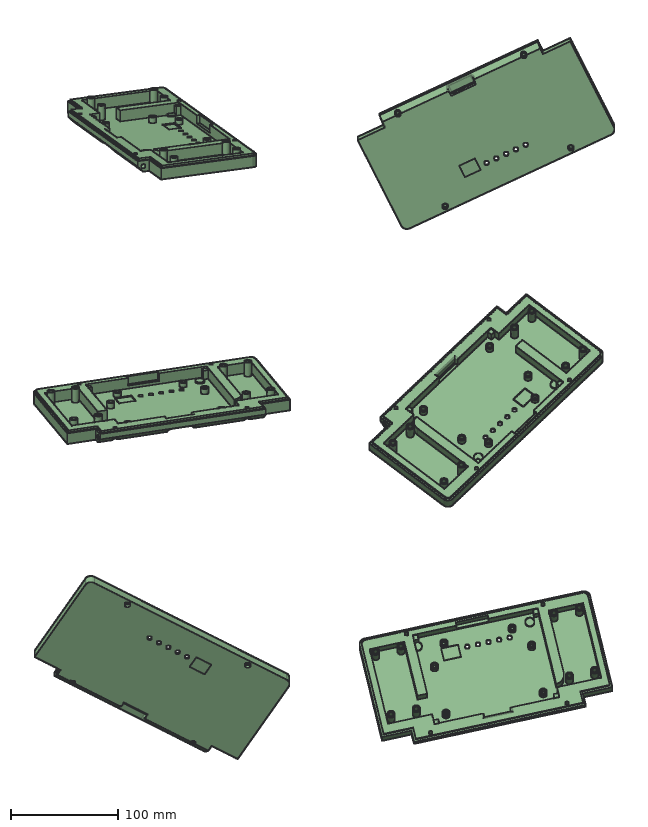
import cadquery as cq

length = 220.0
width = 110.0
body_height = 11.0
lip_height = 2.0
lip_inset = 2.0
top_z = body_height + lip_height
corner_radius = 6.0
front_tongue_half_width = 81.8
wing_setback = 11.5
front_chamfer_size = 5.5

half_length = length / 2
half_width = width / 2

floor_z = 2.0
bay_half_width = 59.6
bay_back_y = 47.5
bay_front_y = -42.7
wing_outer_x = 101.9
wing_inner_x = 68.9
wing_back_y = 43.0
wing_front_y = -32.8
left_divider_end_y = -11.9
right_divider_end_y = -29.5

post_size = 4.6
post_top_z = body_height
disc_diameter = 8.5
disc_height = 1.5
disc_y = 39.2
left_disc_x = -57.2
right_disc_x = 50.2
back_notch_left_x = -17.8
back_notch_right_x = 12.8
back_notch_depth = 3.3
back_notch_z = 5.0
label_recess_x = -28.0
label_recess_y = 26.6
label_recess_length = 16.3
label_recess_width = 12.3
label_recess_depth = 1.0

boss_bore = 4.2
boss_diameter = 7.0
wing_boss_top_z = 16.0
board_boss_top_z = 7.5
upper_boss_top_z = 6.4
wing_boss_x = (73.0, 97.2)
wing_boss_y = (-25.3, 38.3)
board_boss_x = 46.5
board_boss_y = (-32.5, 15.2)
upper_boss_x = 32.5
upper_boss_y = 36.0

screw_x = 65.1
screw_y = 50.2
screw_diameter = 3.3
screw_head_diameter = 5.5
screw_head_depth = 4.5
led_count = 5
led_pitch = 10.1
led_centre_x = 8.4
led_y = 29.0
led_diameter = 4.2
pivot_diameter = 4.2
pivot_y = -49.5
pivot_z = body_height / 2
pivot_depth = 11.0

slot_half_width = 12.8
slot_rounding = 1.5
slot_front_y = -46.0
slot_ceiling_z = 4.5
rim_search_margin = 0.5
bar_radius = 1.5
bar_y = bay_front_y - bar_radius


def box(x0, x1, y0, y1, z0, z1):
    """Axis-aligned block between opposite corners."""
    return cq.Workplane("XY").box(x1 - x0, y1 - y0, z1 - z0, centered=False).translate((x0, y0, z0))


def stepped_slab(inset, height):
    """Case outline shrunk by inset, with both back corners rounded."""
    side = half_length - inset
    back = half_width - inset
    step_y = -half_width + wing_setback + inset
    tongue = front_tongue_half_width - inset
    outline = [
        (-side, back), (side, back), (side, step_y), (tongue, step_y),
        (tongue, -back), (-tongue, -back), (-tongue, step_y), (-side, step_y),
    ]
    slab = cq.Workplane("XY").polyline(outline).close().extrude(height)
    return slab.edges("|Z and >Y").fillet(corner_radius - inset)


def chamfered_case():
    """Body and lip, with the lower front edge of the tongue cut away."""
    wedge = (
        cq.Workplane("YZ", origin=(-half_length, 0, 0))
        .polyline([
            (-half_width, 0),
            (-half_width + front_chamfer_size, 0),
            (-half_width, front_chamfer_size),
        ])
        .close()
        .extrude(length)
    )
    return stepped_slab(0, body_height).union(stepped_slab(lip_inset, top_z)).cut(wedge)


def pocket():
    """Central bay and wing bays joined in front of the dividers; the right divider ends in a quarter round."""
    bay = box(-bay_half_width, bay_half_width, bay_front_y, bay_back_y, floor_z, top_z)
    wings = box(-wing_outer_x, wing_outer_x, wing_front_y, wing_back_y, floor_z, top_z)
    left_divider = box(-wing_inner_x, -bay_half_width, left_divider_end_y, half_width, floor_z, top_z)
    divider_thickness = wing_inner_x - bay_half_width
    right_divider = (
        cq.Workplane("XY", origin=(0, 0, floor_z))
        .moveTo(bay_half_width, half_width)
        .lineTo(bay_half_width, right_divider_end_y)
        .radiusArc((wing_inner_x, right_divider_end_y + divider_thickness), -divider_thickness)
        .lineTo(wing_inner_x, half_width)
        .close()
        .extrude(top_z - floor_z)
    )
    return bay.union(wings.cut(left_divider).cut(right_divider))


def corner_posts():
    """Square post in each corner of the central bay."""
    posts = cq.Workplane("XY")
    offset = post_size / 2
    for x in (-bay_half_width + offset, bay_half_width - offset):
        for y in (bay_front_y + offset, bay_back_y - offset):
            posts = posts.union(
                box(x - offset, x + offset, y - offset, y + offset, 0, post_top_z)
            )
    return posts


def cylinders(points, diameter, z0, z1):
    """Upright cylinders at the given points."""
    return cq.Workplane("XY").workplane(offset=z0).pushPoints(points).circle(diameter / 2).extrude(z1 - z0)


def strap_slot():
    """Opening from the lip down through the chamfer, square-edged."""
    shaft = box(-slot_half_width, slot_half_width, slot_front_y, bay_front_y, 0, top_z)
    outlet = box(-slot_half_width, slot_half_width, -half_width, slot_front_y, 0, slot_ceiling_z)
    return shaft.union(outlet)


def round_slot_rims(body):
    """Round the slot's mouth at the lip and its outlet on the chamfer."""
    reach = slot_half_width + rim_search_margin
    chamfer_back_y = -half_width + front_chamfer_size
    top_rim = cq.selectors.BoxSelector(
        (-reach, slot_front_y - rim_search_margin, top_z - rim_search_margin),
        (reach, bay_front_y, top_z + rim_search_margin),
    )
    outlet_rim = cq.selectors.BoxSelector(
        (-reach, -half_width, rim_search_margin),
        (reach, chamfer_back_y, slot_ceiling_z + rim_search_margin),
    )
    return body.edges(top_rim).fillet(slot_rounding).edges(outlet_rim).fillet(slot_rounding)


def slot_bar():
    """Round bar on the front edge of the floor, spanning the slot."""
    rod = (
        cq.Workplane("YZ", origin=(-slot_half_width, bar_y, floor_z))
        .circle(bar_radius)
        .extrude(2 * slot_half_width)
    )
    return rod.union(box(-slot_half_width, slot_half_width, bar_y, bay_front_y, 0, floor_z))


def back_notch():
    """Notch in the back wall of the central bay."""
    return box(
        back_notch_left_x, back_notch_right_x,
        bay_back_y, bay_back_y + back_notch_depth,
        back_notch_z, top_z,
    )


def label_recess():
    """Shallow rectangular recess in the floor."""
    return (
        cq.Workplane("XY", origin=(label_recess_x, label_recess_y, floor_z))
        .rect(label_recess_length, label_recess_width)
        .extrude(-label_recess_depth)
    )


def add_bosses(body, points, boss_top_z):
    """Screw bosses standing on the floor, bored down to floor level."""
    body = body.union(cylinders(points, boss_diameter, floor_z, boss_top_z))
    return body.cut(cylinders(points, boss_bore, floor_z, boss_top_z))


def pivot_holes():
    """Blind hole along X in each end of the front tongue."""
    hole = (
        cq.Workplane("YZ", origin=(-front_tongue_half_width, pivot_y, pivot_z))
        .circle(pivot_diameter / 2)
        .extrude(pivot_depth)
    )
    return hole.union(hole.mirror("YZ"))


wing_points = [(side * x, y) for side in (-1, 1) for x in wing_boss_x for y in wing_boss_y]
board_points = [(side * board_boss_x, y) for side in (-1, 1) for y in board_boss_y]
upper_points = [(side * upper_boss_x, upper_boss_y) for side in (-1, 1)]
disc_points = [(left_disc_x, disc_y), (right_disc_x, disc_y)]
screw_points = [(x, y) for x in (-screw_x, screw_x) for y in (-screw_y, screw_y)]
first_led_x = led_centre_x - led_pitch * (led_count - 1) / 2
led_points = [(first_led_x + i * led_pitch, led_y) for i in range(led_count)]

case = chamfered_case().cut(pocket()).cut(back_notch()).cut(label_recess())
case = case.union(corner_posts())
case = case.union(cylinders(disc_points, disc_diameter, 0, floor_z + disc_height))

case = add_bosses(case, wing_points, wing_boss_top_z)
case = add_bosses(case, board_points, board_boss_top_z)
case = add_bosses(case, upper_points, upper_boss_top_z)

case = case.cut(cylinders(screw_points, screw_diameter, 0, top_z))
case = case.cut(cylinders(screw_points, screw_head_diameter, 0, screw_head_depth))
case = case.cut(cylinders(led_points, led_diameter, 0, floor_z))
case = case.cut(pivot_holes())

case = round_slot_rims(case.cut(strap_slot()))
result = case.union(slot_bar())